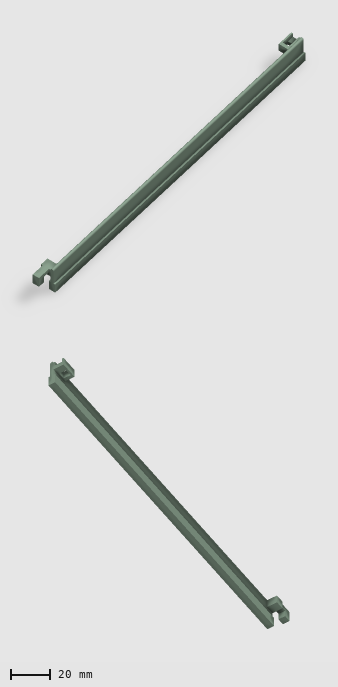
import cadquery as cq

rail_length = 200.0
total_height = 16.0
foot_width = 4.0
foot_height = 6.0
web_thickness = 2.0

block_reach = 6.0
block_height = 5.0
hook_block_length = 5.0
socket_block_length = 10.0

hook_width = 4.0
hook_side_wall = 1.0
hook_length = 8.0
hook_tip_length = 4.0
hook_arm_thickness = 2.5
hook_tip_height = 6.5

web_left = block_reach
web_center = web_left + web_thickness / 2
web_right = web_left + web_thickness
crown_radius = web_thickness / 2
web_top = total_height - crown_radius
block_bottom = web_top - block_height
hook_tip_gap = hook_length - hook_tip_length


def box(x, y, z, length_x, length_y, length_z):
    """Box given by its lowest corner and its three side lengths."""
    return cq.Workplane("XY").box(length_x, length_y, length_z, centered=False).translate((x, y, z))


def make_rail():
    """Foot and round-topped web over the full rail length."""
    foot = box(web_center - foot_width / 2, 0, 0, foot_width, rail_length, foot_height)
    web = (
        cq.Workplane("XZ")
        .moveTo(web_left, 0)
        .lineTo(web_right, 0)
        .lineTo(web_right, web_top)
        .threePointArc((web_center, total_height), (web_left, web_top))
        .close()
        .extrude(-rail_length)
    )
    return foot.union(web)


def make_block(start_y, length):
    """Connector block from the web out to X = 0, level with the top of the web's flat sides."""
    return box(0, start_y, block_bottom, block_reach, length, block_height)


def make_hook():
    """L-shaped hook: an arm reaching past the -Y end and a tip pointing down."""
    arm = box(
        hook_side_wall, -hook_length, web_top - hook_arm_thickness,
        hook_width, hook_length, hook_arm_thickness,
    )
    tip = box(
        hook_side_wall, -hook_length, web_top - hook_tip_height,
        hook_width, hook_tip_length, hook_tip_height,
    )
    return arm.union(tip)


def make_socket():
    """Space for a neighbour's hook: a channel for the arm and a through hole for the tip."""
    channel = box(
        hook_side_wall, rail_length - hook_tip_gap, web_top - hook_arm_thickness,
        hook_width, hook_tip_gap, hook_arm_thickness,
    )
    hole = box(
        hook_side_wall, rail_length - hook_length, block_bottom,
        hook_width, hook_tip_length, block_height,
    )
    return channel.union(hole)


result = (
    make_rail()
    .union(make_block(0, hook_block_length))
    .union(make_block(rail_length - socket_block_length, socket_block_length))
    .union(make_hook())
    .cut(make_socket())
)